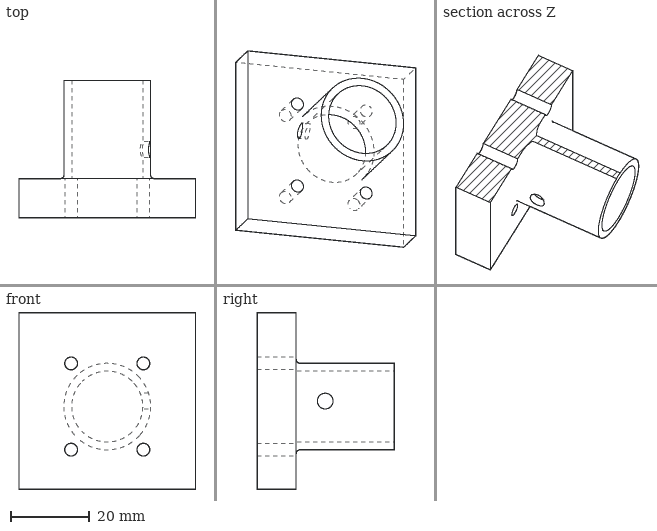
import cadquery as cq

plate_side = 45.0
plate_thickness = 10.0
total_depth = 35.0

socket_diameter = 22.1
bore_diameter = 18.1
socket_drop = 1.4
socket_length = total_depth - plate_thickness
base_fillet = 1.0
edge_search_margin = 0.45

plate_hole_diameter = 3.2
hole_spacing_x = 18.4
hole_spacing_z = 21.95

screw_hole_diameter = 4.0
screw_hole_from_plate = 7.4


def along_y(start_y):
    """Workplane centred on the socket axis, facing +Y."""
    return cq.Workplane(
        cq.Plane(origin=(0, start_y, -socket_drop), xDir=(1, 0, 0), normal=(0, 1, 0))
    )


def make_plate():
    return cq.Workplane("XY").box(
        plate_side, plate_thickness, plate_side, centered=(True, False, True)
    )


def add_socket(body):
    post = along_y(plate_thickness).circle(socket_diameter / 2).extrude(socket_length)
    base_edge = cq.selectors.BoxSelector(
        (-plate_side, plate_thickness - edge_search_margin, -plate_side),
        (plate_side, plate_thickness + edge_search_margin, plate_side),
    )
    body = body.union(post).edges("%CIRCLE").edges(base_edge).fillet(base_fillet)
    bore = along_y(plate_thickness).circle(bore_diameter / 2).extrude(socket_length)
    return body.cut(bore)


def cut_plate_holes(body):
    holes = (
        along_y(0)
        .rect(hole_spacing_x, hole_spacing_z, forConstruction=True)
        .vertices()
        .circle(plate_hole_diameter / 2)
        .extrude(plate_thickness)
    )
    return body.cut(holes)


def cut_screw_hole(body):
    screw_hole_y = plate_thickness + screw_hole_from_plate
    drill = (
        cq.Workplane("YZ")
        .center(screw_hole_y, 0)
        .circle(screw_hole_diameter / 2)
        .extrude(socket_diameter / 2)
    )
    return body.cut(drill)


result = cut_screw_hole(cut_plate_holes(add_socket(make_plate())))